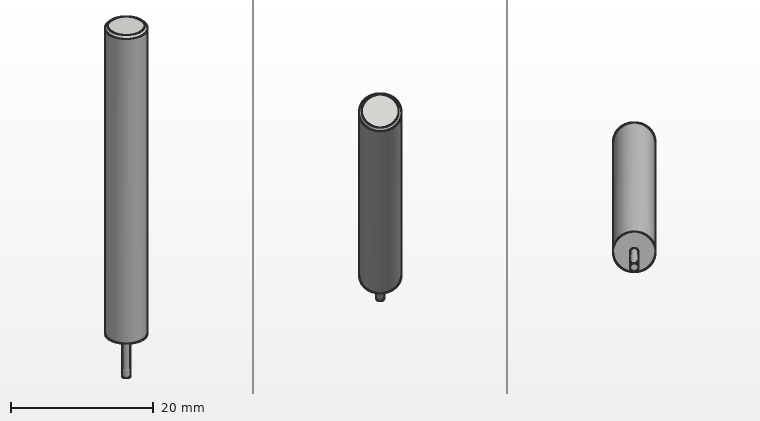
import cadquery as cq

overall_length = 57.0
shank_diameter = 6.0
shank_chamfer = 0.4
neck_diameter = 1.15
tip_diameter = 1.2
tip_length = 1.2
shoulder_height = 0.15
reach = 7.0

shank_radius = shank_diameter / 2
neck_radius = neck_diameter / 2
tip_radius = tip_diameter / 2

profile = (
    cq.Workplane("XZ")
    .moveTo(0, 0)
    .lineTo(tip_radius, 0)
    .lineTo(tip_radius, tip_length)
    .lineTo(neck_radius, tip_length + shoulder_height)
    .lineTo(neck_radius, reach)
    .lineTo(shank_radius, reach)
    .lineTo(shank_radius, overall_length - shank_chamfer)
    .lineTo(shank_radius - shank_chamfer, overall_length)
    .lineTo(0, overall_length)
    .close()
)

result = profile.revolve(360, (0, 0, 0), (0, 1, 0))